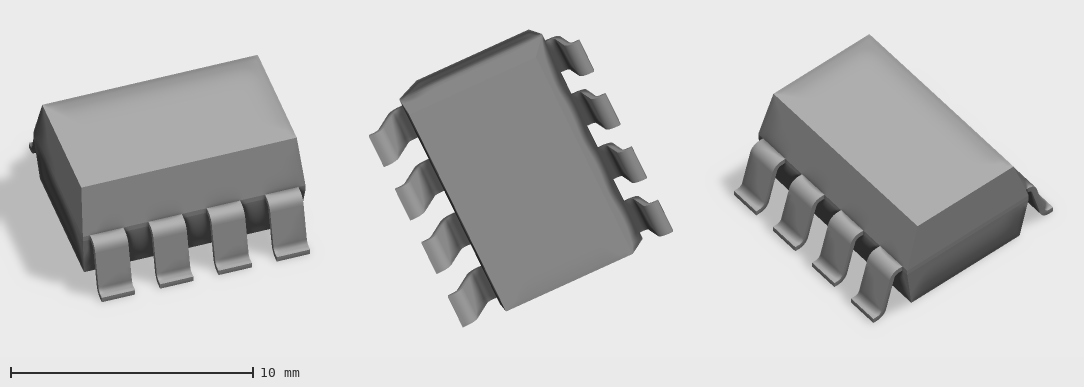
import cadquery as cq
import math

BAND_WIDTH = 6.5
BAND_LENGTH = 9.68
TOP_WIDTH = 5.13
TOP_LENGTH = 9.37
BOTTOM_WIDTH = 5.79
BOTTOM_LENGTH = 9.35
HEIGHT = 4.6

SHEET = 0.25
LEADS_PER_SIDE = 4
LEAD_PITCH = 2.54
LEAD_WIDTH = 1.45
LEAD_SPAN = 9.6
FOOT_FLAT = 0.19
LEG_TILT = 15.0
INNER_RADIUS = SHEET
OUTER_RADIUS = INNER_RADIUS + SHEET

MARKER_DIAMETER = 0.33
MARKER_DEPTH = 0.1
MARKER_X = -1.69
MARKER_Y = 3.45

BAND_BOTTOM = (HEIGHT - SHEET) / 2
BAND_TOP = BAND_BOTTOM + SHEET


def tapered_block(z_start, start_size, z_end, end_size):
    """Solid with a rectangle at each end and flat sloping sides between them."""
    return (
        cq.Workplane("XY", origin=(0, 0, z_start))
        .rect(*start_size)
        .workplane(offset=z_end - z_start)
        .rect(*end_size)
        .loft(ruled=True)
    )


def make_marker():
    return (
        cq.Workplane("XY", origin=(MARKER_X, MARKER_Y, HEIGHT - MARKER_DEPTH))
        .circle(MARKER_DIAMETER / 2)
        .extrude(MARKER_DEPTH)
    )


def make_housing(marker):
    """Housing with a recess that the marker fills."""
    band_size = (BAND_WIDTH, BAND_LENGTH)
    band = cq.Workplane("XY", origin=(0, 0, BAND_BOTTOM)).rect(*band_size).extrude(SHEET)
    lower = tapered_block(0, (BOTTOM_WIDTH, BOTTOM_LENGTH), BAND_BOTTOM, band_size)
    upper = tapered_block(BAND_TOP, band_size, HEIGHT, (TOP_WIDTH, TOP_LENGTH))
    return band.union(lower).union(upper).cut(marker).solids()


def make_lead(y_centre):
    """Lead on the -X side: foot, sloping leg and shoulder that meets the housing band."""
    bend = math.radians(90 - LEG_TILT)

    foot_x = -LEAD_SPAN / 2 + FOOT_FLAT
    foot_z = OUTER_RADIUS
    shoulder_z = BAND_TOP - OUTER_RADIUS
    radii_sum = INNER_RADIUS + OUTER_RADIUS
    leg_rise = shoulder_z - foot_z + radii_sum * math.cos(bend)
    leg_run = leg_rise * math.tan(math.radians(LEG_TILT))
    shoulder_x = foot_x + radii_sum * math.sin(bend) + leg_run

    def on_foot_bend(radius, angle):
        return (foot_x + radius * math.sin(angle), foot_z - radius * math.cos(angle))

    def on_shoulder_bend(radius, angle):
        return (shoulder_x - radius * math.sin(angle), shoulder_z + radius * math.cos(angle))

    profile = (
        cq.Workplane("XZ", origin=(0, y_centre, 0))
        .moveTo(-LEAD_SPAN / 2, 0)
        .lineTo(*on_foot_bend(OUTER_RADIUS, 0))
        .threePointArc(on_foot_bend(OUTER_RADIUS, bend / 2), on_foot_bend(OUTER_RADIUS, bend))
        .lineTo(*on_shoulder_bend(INNER_RADIUS, bend))
        .threePointArc(on_shoulder_bend(INNER_RADIUS, bend / 2), on_shoulder_bend(INNER_RADIUS, 0))
        .lineTo(-BAND_WIDTH / 2, BAND_BOTTOM)
        .lineTo(-BAND_WIDTH / 2, BAND_TOP)
        .lineTo(*on_shoulder_bend(OUTER_RADIUS, 0))
        .threePointArc(on_shoulder_bend(OUTER_RADIUS, bend / 2), on_shoulder_bend(OUTER_RADIUS, bend))
        .lineTo(*on_foot_bend(INNER_RADIUS, bend))
        .threePointArc(on_foot_bend(INNER_RADIUS, bend / 2), on_foot_bend(INNER_RADIUS, 0))
        .lineTo(-LEAD_SPAN / 2, SHEET)
        .close()
    )
    return profile.extrude(LEAD_WIDTH / 2, both=True).solids()


marker = make_marker()
housing = make_housing(marker)

leads = []
for index in range(LEADS_PER_SIDE):
    lead_y = (index - (LEADS_PER_SIDE - 1) / 2) * LEAD_PITCH
    left_lead = make_lead(lead_y)
    leads.append(left_lead.val())
    leads.append(left_lead.mirror("YZ").solids().val())

result = cq.Compound.makeCompound([housing.val(), marker.val(), *leads])